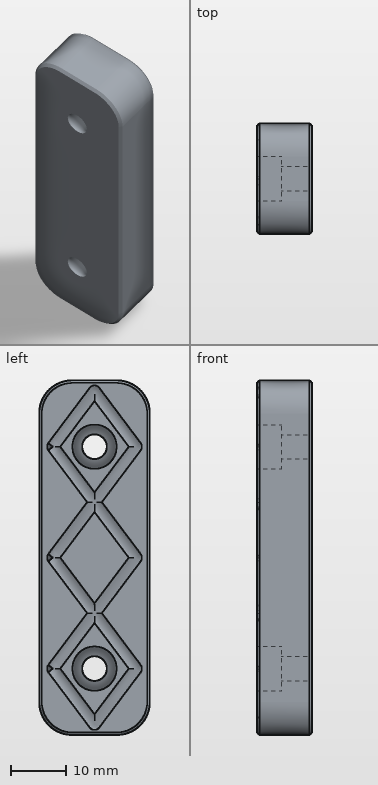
import cadquery as cq
import math

THICKNESS = 10.0
WIDTH = 20.0
HEIGHT = 64.0
CORNER_RADIUS = 6.0
EDGE_CHAMFER = 0.5
FRONT_FACE_X = -THICKNESS / 2

DIAMOND_PITCH = 20.0
DIAMOND_COUNT = 3
DIAMOND_ROW_HALF_HEIGHT = DIAMOND_COUNT * DIAMOND_PITCH / 2
DIAMOND_HALF_WIDTH = 7.5

GROOVE_RADIUS = 1.5
GROOVE_ARC_ANGLE = math.radians(90)
GROOVE_AXIS_X = FRONT_FACE_X - GROOVE_RADIUS * math.cos(GROOVE_ARC_ANGLE / 2)

HOLE_CENTRES_Z = (-DIAMOND_PITCH, DIAMOND_PITCH)
HOLE_DIAMETER = 4.4
COUNTERBORE_DIAMETER = 8.0
COUNTERBORE_DEPTH = 4.4


def make_plate():
    """Rounded plate with both large faces chamfered all round."""
    plate = cq.Workplane("XY").box(THICKNESS, WIDTH, HEIGHT)
    plate = plate.edges("|X").fillet(CORNER_RADIUS)
    return plate.faces("<X or >X").chamfer(EDGE_CHAMFER)


def make_bore(centre_z, diameter, depth):
    """Cylinder running from the -X face into the plate."""
    start = cq.Vector(FRONT_FACE_X, 0, centre_z)
    return cq.Solid.makeCylinder(diameter / 2, depth, start, cq.Vector(1, 0, 0))


def make_zigzag_cutter(side):
    """Round bar following one zigzag of the diamond row; its first bend is on the given side of Y.

    The zigzag and its mirror image cross at the shared diamond tips.
    """
    row_top = (GROOVE_AXIS_X, 0, DIAMOND_ROW_HALF_HEIGHT)
    bend_y = side * DIAMOND_HALF_WIDTH
    path = (
        cq.Workplane("YZ", origin=(GROOVE_AXIS_X, 0, 0))
        .moveTo(0, DIAMOND_ROW_HALF_HEIGHT)
        .lineTo(bend_y, DIAMOND_PITCH)
        .lineTo(-bend_y, 0)
        .lineTo(bend_y, -DIAMOND_PITCH)
        .lineTo(0, -DIAMOND_ROW_HALF_HEIGHT)
    )
    first_leg = (0, bend_y, -DIAMOND_PITCH / 2)
    profile_plane = cq.Plane(origin=row_top, xDir=(1, 0, 0), normal=first_leg)
    return cq.Workplane(profile_plane).circle(GROOVE_RADIUS).sweep(path, transition="round")


def make_tip_cutter(tip_z):
    """Ball that rounds the groove where the two zigzags meet at an end of the row."""
    return cq.Workplane("XY", origin=(GROOVE_AXIS_X, 0, tip_z)).sphere(GROOVE_RADIUS)


plate = make_plate()
for zigzag_side in (-1, 1):
    plate = plate.cut(make_zigzag_cutter(zigzag_side))
for end_z in (-DIAMOND_ROW_HALF_HEIGHT, DIAMOND_ROW_HALF_HEIGHT):
    plate = plate.cut(make_tip_cutter(end_z))
for hole_z in HOLE_CENTRES_Z:
    plate = plate.cut(cq.Workplane(make_bore(hole_z, HOLE_DIAMETER, THICKNESS)))
    plate = plate.cut(cq.Workplane(make_bore(hole_z, COUNTERBORE_DIAMETER, COUNTERBORE_DEPTH)))

result = cq.Workplane(plate.solids().val())